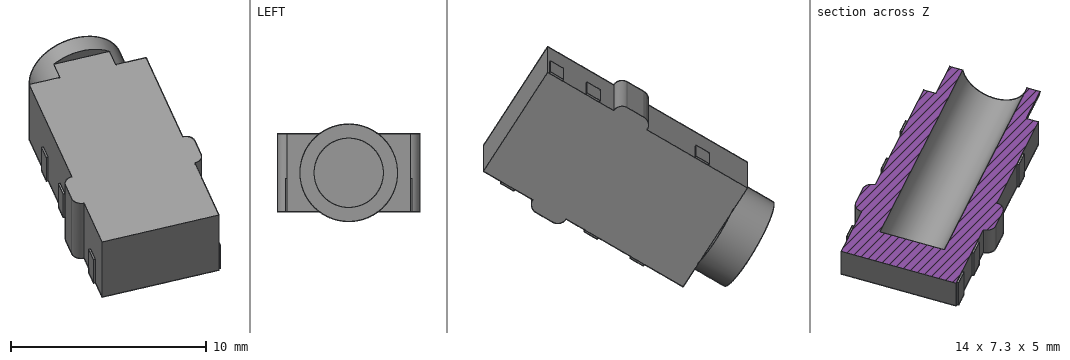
import cadquery as cq

overall_length = 14.0
barrel_length = 2.0
housing_width = 6.3
housing_height = 4.0
housing_length = overall_length - barrel_length
side_y = housing_width / 2
top_z = housing_height / 2
bottom_z = -top_z

barrel_diameter = 5.0
bore_diameter = 3.55
bore_depth = 12.0
collar_length = 1.0

rib_length = 2.0
rib_projection = 0.5
rib_corner_radius = rib_projection
front_side_rib_x = 9.03
back_side_rib_x = 8.03

contact_width = 0.8
contact_height = 1.7
contact_thickness = 0.1
front_side_contact_centers = (4.73, 7.5, 12.5)
back_side_contact_centers = (4.75, 11.3, 13.5)

FRONT_SIDE = -1
BACK_SIDE = 1


def make_barrel():
    """Cylinder whose crown is cut flat between the collar and the housing block."""
    barrel = cq.Workplane("YZ").circle(barrel_diameter / 2).extrude(barrel_length)
    crown_cut = cq.Workplane("XY").box(
        barrel_length - collar_length, barrel_diameter, barrel_diameter, centered=(False, True, False)
    ).translate((collar_length, 0, top_z))
    return barrel.cut(crown_cut)


def make_rib(start_x, side):
    """Full-height rib with rounded outer corners, rooted on the housing centre plane."""
    root_to_crest = side_y + rib_projection
    outer_edges = "|Z and >Y" if side == BACK_SIDE else "|Z and <Y"
    return (
        cq.Workplane("XY")
        .box(rib_length, root_to_crest, housing_height, centered=(False, True, True))
        .edges(outer_edges)
        .fillet(rib_corner_radius)
        .translate((start_x, side * root_to_crest / 2, 0))
    )


def make_housing():
    """Block, barrel and ribs as one solid with the blind plug bore."""
    block = cq.Workplane("XY").box(
        housing_length, housing_width, housing_height, centered=(False, True, True)
    ).translate((barrel_length, 0, 0))
    bore = cq.Workplane("YZ").circle(bore_diameter / 2).extrude(bore_depth)
    return (
        block.union(make_barrel())
        .union(make_rib(front_side_rib_x, FRONT_SIDE))
        .union(make_rib(back_side_rib_x, BACK_SIDE))
        .cut(bore)
    )


def make_contact(center_x, side):
    """Thin rectangular pad resting on a side wall."""
    center_y = side * (side_y + contact_thickness / 2)
    center_z = bottom_z + contact_height / 2
    return cq.Workplane("XY").box(contact_width, contact_thickness, contact_height).translate(
        (center_x, center_y, center_z)
    )


housing = make_housing()

contacts = []
for side, centers in ((FRONT_SIDE, front_side_contact_centers), (BACK_SIDE, back_side_contact_centers)):
    for center_x in centers:
        contacts.append(make_contact(center_x, side).val())

result = cq.Compound.makeCompound([housing.val(), *contacts])